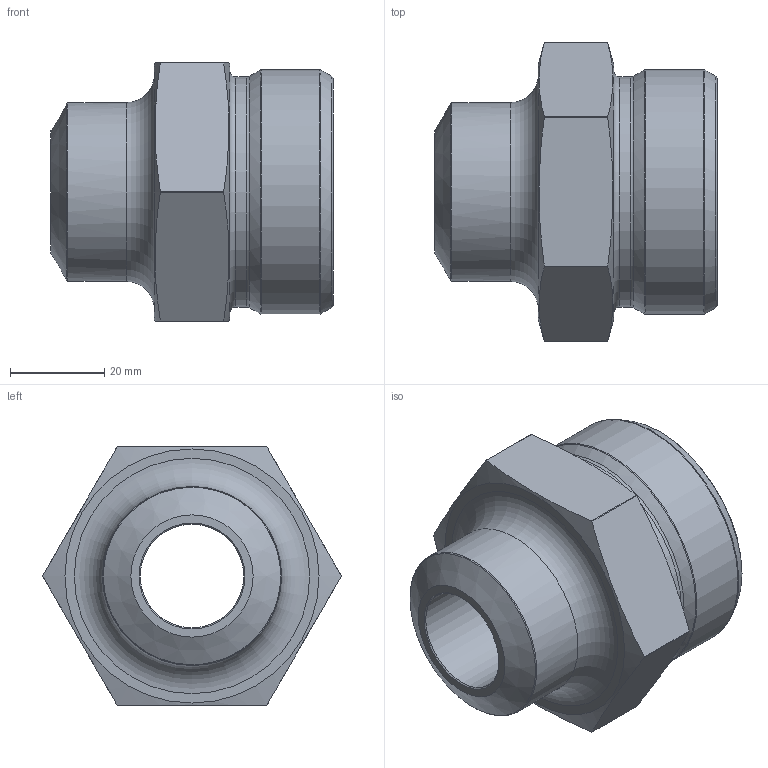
import cadquery as cq
import math

TOTAL_LENGTH = 60.0
HEX_START = 22.0
HEX_END = 38.0

STUB_RADIUS = 38.0 / 2
STUB_LAND_RADIUS = 26.0 / 2
STUB_BEVEL_ANGLE = math.radians(30.0)
STUB_FILLET = 6.0
STUB_EDGE_FILLET = 0.3

HEX_ACROSS_FLATS = 55.0
HEX_CORNER_DIAMETER = 63.42
HEX_CHAMFER_DIAMETER = 54.0
HEX_CHAMFER_ANGLE = math.radians(15.0)

SPIGOT_RADIUS = 52.0 / 2
UNDERCUT_RADIUS = 48.9 / 2
UNDERCUT_FLOOR_END = 41.6
UNDERCUT_FILLET = 1.3
SPIGOT_TAPER_ANGLE = math.radians(30.0)
SPIGOT_CHAMFER_LENGTH = 2.75
SPIGOT_EDGE_FILLET = 0.5
SPIGOT_END_FILLET = 0.7

BORE_RADIUS = 22.0 / 2
BORE_ENTRY_CHAMFER = 0.25

RIM_TOLERANCE = 0.01


def revolve_about_x(outline):
    """Revolve a closed (x, radius) outline a full turn about the X axis."""
    return outline.close().revolve(360, (0, 0, 0), (1, 0, 0))


def round_rim(body, x, rim_radius, fillet_radius):
    """Fillet the full-circle edge of a turned body at station x."""
    reach = rim_radius + RIM_TOLERANCE
    rim = cq.selectors.BoxSelector(
        (x - RIM_TOLERANCE, -reach, -reach),
        (x + RIM_TOLERANCE, reach, reach),
        boundingbox=True,
    )
    return body.edges(rim).fillet(fillet_radius)


def fillet_point(center, radius, angle):
    """Point on a fillet circle, at an angle measured from +X."""
    return (center[0] + radius * math.cos(angle), center[1] + radius * math.sin(angle))


def make_stub():
    """Bevelled weld stub that flares into the hexagon face with a concave fillet."""
    bevel_length = (STUB_RADIUS - STUB_LAND_RADIUS) * math.tan(STUB_BEVEL_ANGLE)
    fillet_center = (HEX_START - STUB_FILLET, STUB_RADIUS + STUB_FILLET)
    outline = (
        cq.Workplane("XY")
        .moveTo(0, 0)
        .lineTo(0, STUB_LAND_RADIUS)
        .lineTo(bevel_length, STUB_RADIUS)
        .lineTo(HEX_START - STUB_FILLET, STUB_RADIUS)
        .threePointArc(
            fillet_point(fillet_center, STUB_FILLET, math.radians(-45)),
            (HEX_START, fillet_center[1]),
        )
        .lineTo(HEX_START, 0)
    )
    return round_rim(revolve_about_x(outline), bevel_length, STUB_RADIUS, STUB_EDGE_FILLET)


def make_hexagon():
    """Hexagon with flats on +Z and -Z, chamfered at both ends by a turned envelope."""
    across_corners = HEX_ACROSS_FLATS / math.cos(math.radians(30))
    prism = (
        cq.Workplane("YZ", origin=(HEX_START, 0, 0))
        .polygon(6, across_corners)
        .extrude(HEX_END - HEX_START)
    )
    corner_radius = HEX_CORNER_DIAMETER / 2
    chamfer_radius = HEX_CHAMFER_DIAMETER / 2
    chamfer_length = (corner_radius - chamfer_radius) * math.tan(HEX_CHAMFER_ANGLE)
    envelope = (
        cq.Workplane("XY")
        .moveTo(HEX_START, 0)
        .lineTo(HEX_START, chamfer_radius)
        .lineTo(HEX_START + chamfer_length, corner_radius)
        .lineTo(HEX_END - chamfer_length, corner_radius)
        .lineTo(HEX_END, chamfer_radius)
        .lineTo(HEX_END, 0)
    )
    return prism.intersect(revolve_about_x(envelope))


def make_spigot():
    """Male spigot with a filleted undercut behind it and a rounded end chamfer."""
    slope = math.tan(SPIGOT_TAPER_ANGLE)
    fillet_center_radius = UNDERCUT_RADIUS + UNDERCUT_FILLET
    near_center = (HEX_END + UNDERCUT_FILLET, fillet_center_radius)
    far_center = (UNDERCUT_FLOOR_END, fillet_center_radius)
    floor_angle = math.radians(-90)
    taper_start = fillet_point(far_center, UNDERCUT_FILLET, floor_angle + SPIGOT_TAPER_ANGLE)
    taper_end_x = taper_start[0] + (SPIGOT_RADIUS - taper_start[1]) / slope
    end_radius = SPIGOT_RADIUS - SPIGOT_CHAMFER_LENGTH * slope
    chamfer_start_x = TOTAL_LENGTH - SPIGOT_CHAMFER_LENGTH

    outline = (
        cq.Workplane("XY")
        .moveTo(HEX_END, 0)
        .lineTo(HEX_END, fillet_center_radius)
        .threePointArc(
            fillet_point(near_center, UNDERCUT_FILLET, math.radians(-135)),
            (near_center[0], UNDERCUT_RADIUS),
        )
        .lineTo(UNDERCUT_FLOOR_END, UNDERCUT_RADIUS)
        .threePointArc(
            fillet_point(far_center, UNDERCUT_FILLET, floor_angle + SPIGOT_TAPER_ANGLE / 2),
            taper_start,
        )
        .lineTo(taper_end_x, SPIGOT_RADIUS)
        .lineTo(chamfer_start_x, SPIGOT_RADIUS)
        .lineTo(TOTAL_LENGTH, end_radius)
        .lineTo(TOTAL_LENGTH, 0)
    )
    spigot = revolve_about_x(outline)
    spigot = round_rim(spigot, taper_end_x, SPIGOT_RADIUS, SPIGOT_EDGE_FILLET)
    spigot = round_rim(spigot, chamfer_start_x, SPIGOT_RADIUS, SPIGOT_EDGE_FILLET)
    return round_rim(spigot, TOTAL_LENGTH, end_radius, SPIGOT_END_FILLET)


def make_bore():
    """Straight through bore with its edge broken at the weld end."""
    outline = (
        cq.Workplane("XY")
        .moveTo(0, 0)
        .lineTo(0, BORE_RADIUS + BORE_ENTRY_CHAMFER)
        .lineTo(BORE_ENTRY_CHAMFER, BORE_RADIUS)
        .lineTo(TOTAL_LENGTH, BORE_RADIUS)
        .lineTo(TOTAL_LENGTH, 0)
    )
    return revolve_about_x(outline)


result = make_stub().union(make_hexagon()).union(make_spigot()).cut(make_bore())